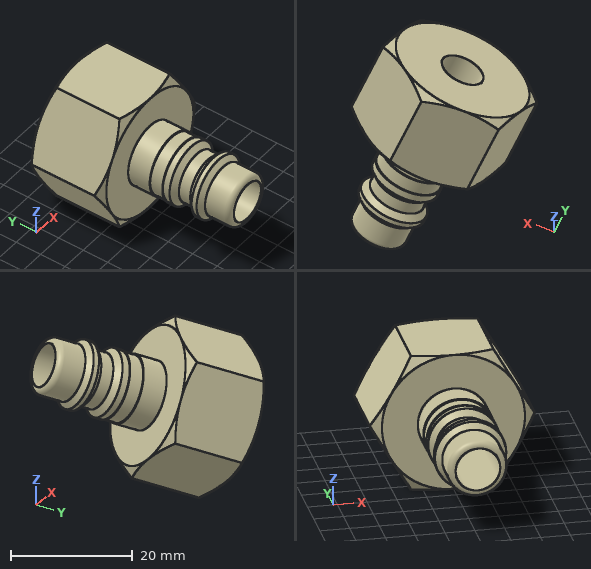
import cadquery as cq
import math

length = 35.0
across_flats = 24.0
nut_length = 15.0
nut_chamfer_angle = 30.0
corner_clearance = 0.35

bore_radius = 3.75
tip_radius = 4.97
tip_rounding = 1.0
collar_radius = 6.0
relief_radius = 5.85
neck_radius = 4.85

tip_end = 5.0
bead_start = 6.0
bead_end = 7.0
neck_start = 8.12
neck_end = 10.43
collar_start = 11.5
relief_start = 13.0
relief_end = 15.58

nut_start = length - nut_length
corner_radius = across_flats / 2 / math.cos(math.radians(30))


def revolve_about_axis(profile):
    """Turn a closed XY profile (X = radius) around the Y axis."""
    return profile.close().revolve(360, (0, 0, 0), (0, 1, 0))


def make_nut():
    """Hexagonal nut with corners chamfered by a cone at both ends."""
    hexagon = (
        cq.Workplane("XZ", origin=(0, length, 0))
        .polygon(6, 2 * corner_radius)
        .extrude(nut_length)
    )
    face_radius = across_flats / 2
    outer_radius = corner_radius + corner_clearance
    chamfer_depth = (outer_radius - face_radius) * math.tan(math.radians(nut_chamfer_angle))
    envelope = revolve_about_axis(
        cq.Workplane("XY")
        .moveTo(0, nut_start)
        .lineTo(face_radius, nut_start)
        .lineTo(outer_radius, nut_start + chamfer_depth)
        .lineTo(outer_radius, length - chamfer_depth)
        .lineTo(face_radius, length)
        .lineTo(0, length)
    )
    return hexagon.intersect(envelope)


def make_spigot():
    """Stepped plug with a rounded tip, bead, neck, collar and shallow relief."""
    mouth_radius = tip_radius - tip_rounding
    return revolve_about_axis(
        cq.Workplane("XY")
        .lineTo(mouth_radius, 0)
        .tangentArcPoint((tip_radius, tip_rounding), relative=False)
        .lineTo(tip_radius, tip_end)
        .lineTo(collar_radius, bead_start)
        .lineTo(collar_radius, bead_end)
        .lineTo(neck_radius, neck_start)
        .lineTo(neck_radius, neck_end)
        .lineTo(collar_radius, collar_start)
        .lineTo(collar_radius, relief_start)
        .lineTo(relief_radius, relief_start)
        .lineTo(relief_radius, relief_end)
        .lineTo(collar_radius, relief_end)
        .lineTo(collar_radius, nut_start)
        .lineTo(0, nut_start)
    )


bore = cq.Workplane("XZ", origin=(0, length, 0)).circle(bore_radius).extrude(length)

result = make_nut().union(make_spigot()).cut(bore)